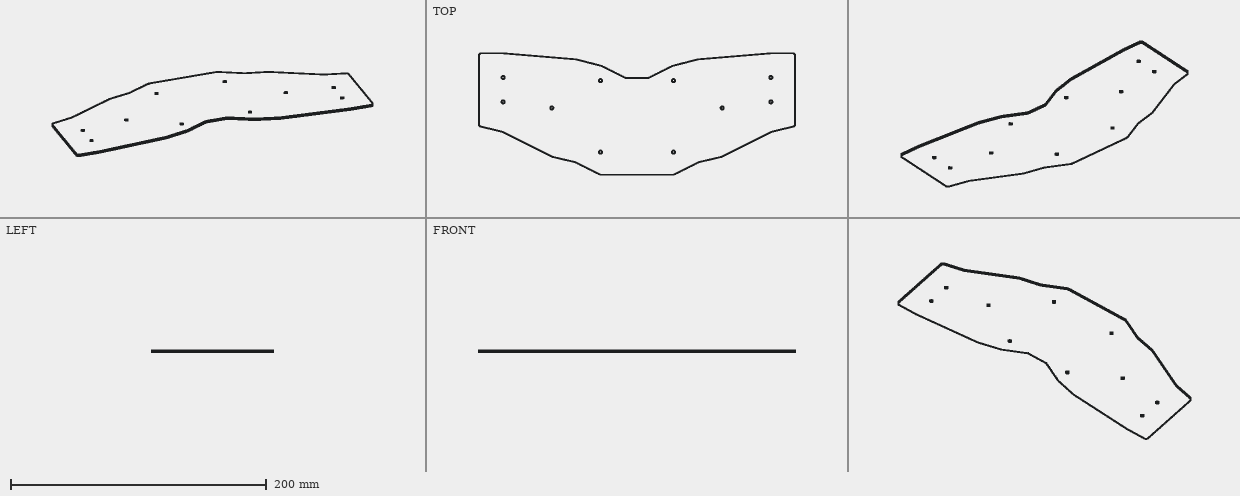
import cadquery as cq

length = 247.6
thickness = 1.58
cells_along = 13
cells_deep = 5
cell = length / cells_along
depth = cells_deep * cell

hole_diameter = 2.3
corner_radius = 2.0

half = 1 / 2
quarter = 1 / 4
eighth = 1 / 8
sixteenth = 1 / 16

overrun = 0.03
overrun_drop = overrun / 2

half_outline_cells = [
    (half - overrun, 1 + overrun_drop),
    (1 + half - overrun, half + overrun_drop),
    (2 + half, quarter),
    (5 + half, 0),
    (cells_along / 2, 0),
    (cells_along / 2, 3),
    (5 + half + overrun, 3 + quarter - overrun_drop),
    (3 + half - overrun, 4 + quarter + overrun_drop),
    (2 + half + overrun, 4 + half - overrun_drop),
    (1 + half, cells_deep),
]

half_hole_cells = [
    (5 + half, 1),
    (5 + half, 2),
    (3 + half, 2 + quarter),
    (1 + half, 1 + eighth),
    (1 + half, 4 + sixteenth),
]


def grid_point(across, back):
    """Position on the plate, with the origin at the middle of its length and depth."""
    return (across * cell, depth / 2 - back * cell)


def mirrored(points):
    """The same points on the other side of the centre line."""
    return [(-x, y) for x, y in points]


def plate():
    right = [grid_point(across, back) for across, back in half_outline_cells]
    left = mirrored(reversed(right))
    body = cq.Workplane("XY").polyline(right + left).close().extrude(thickness)
    return body.edges("|Z and (<X or >X)").fillet(corner_radius)


def screw_holes():
    right = [grid_point(across, back) for across, back in half_hole_cells]
    return (
        cq.Workplane("XY")
        .pushPoints(right + mirrored(right))
        .circle(hole_diameter / 2)
        .extrude(thickness)
    )


result = plate().cut(screw_holes())